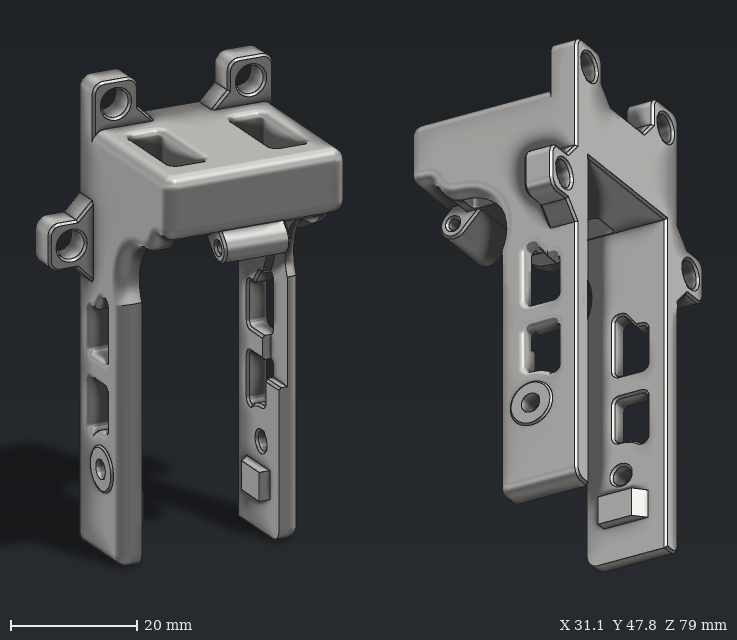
import cadquery as cq
import math

HEIGHT = 79.0
BODY_LENGTH = 30.8
BODY_WIDTH = 32.1
BODY_TOP = 71.0
LEG_LENGTH = 14.5
GAP_WIDTH = 24.3
GAP_TOP = 58.7
EDGE_ROUND = 2.0
SMALL_CHAMFER = 0.4
WINDOW_ROUND = 1.0
WINDOW_CORNER = 1.0
HALF_BODY = BODY_WIDTH / 2
HALF_GAP = GAP_WIDTH / 2

PLATE_THICKNESS = 5.1
TOTAL_WIDTH = 47.8
LUG_SIZE = 8.05
SLOPE_RUN = 2.85
EAR_HEIGHT = 52.4
LUG_HOLE = 4.7
EAR_Y = (TOTAL_WIDTH - LUG_SIZE) / 2
TOP_LUG_Y = HALF_BODY - LUG_SIZE / 2
TOP_LUG_Z = HEIGHT - LUG_SIZE / 2

BAY_RADIUS = 8.05
BAY_X = 21.7
BAY_Z = 48.2
BUMP_RADIUS = 5.0
HOLLOW_RADIUS = 2.0
BLOCK_BOTTOM = 60.3

SLOT_X_MIN = 9.1
SLOT_X_MAX = 24.65
SLOT_WIDTH = 5.85
SLOT_Y = 9.0
SLOT_ROUND = 1.2

WINDOW_X_MIN = 3.55
WINDOW_X_MAX = 9.6
UPPER_WINDOW_BOTTOM = 33.0
UPPER_WINDOW_STEP = 41.0
UPPER_WINDOW_STEP_X = 5.7
UPPER_WINDOW_TOP = 43.6
UPPER_WINDOW_PEAK_X = 7.75
LOWER_WINDOW_TOP = 29.0
LOWER_WINDOW_BOTTOM = 20.1
LOWER_WINDOW_RELIEF = 6.1

PIVOT_X = 8.3
PIVOT_Z = 15.1
PIVOT_HOLE = 3.3
RING_RADIUS = 3.9
RING_HEIGHT = 0.3

PEG_X_MIN = 3.4
PEG_X_MAX = 11.4
PEG_Z_MIN = 6.25
PEG_Z_MAX = 11.1
PEG_REACH = 1.9

RECESS_DEPTH = 1.5
RECESS_X = 8.85
RECESS_BOTTOM = 26.1
RECESS_BEND_START = 44.0
RECESS_BEND_MIDDLE = (9.8, 45.8)
RECESS_BEND_END = (10.4, 49.0)

BARREL_X = 28.6
BARREL_Z = 57.3
BARREL_RADIUS = 2.5
BARREL_WIDTH = 11.7
BARREL_HOLE = 2.0
BARREL_ARM = 4.7
ARM_ANGLE = 45.0

SELECTION_PAD = 0.1


def edges_within(low, high):
    """Selector for edges centered inside a box, padded so that flat boxes work."""
    pad = cq.Vector(SELECTION_PAD, SELECTION_PAD, SELECTION_PAD)
    return cq.selectors.BoxSelector((cq.Vector(low) - pad).toTuple(), (cq.Vector(high) + pad).toTuple())


def round_edges_near(solid, points, radius):
    """Fillet the edge closest to each point."""
    for point in points:
        solid = solid.edges(cq.selectors.NearestToPointSelector(point)).fillet(radius)
    return solid


def drill(start, direction, diameter, depth):
    """Cylindrical cutter that starts at a face and runs along a direction."""
    solid = cq.Solid.makeCylinder(diameter / 2, depth, cq.Vector(start), cq.Vector(direction))
    return cq.Workplane(solid)


def countersink(mouth, direction, diameter):
    """Conical cutter that chamfers the mouth of a hole."""
    radius = diameter / 2
    solid = cq.Solid.makeCone(
        radius + SMALL_CHAMFER, radius, SMALL_CHAMFER, cq.Vector(mouth), cq.Vector(direction)
    )
    return cq.Workplane(solid)


def chamfered_hole(start, direction, diameter, depth):
    """Cutter for a through hole with both mouths chamfered."""
    forward = cq.Vector(direction)
    end = cq.Vector(start) + forward * depth
    hole = drill(start, direction, diameter, depth)
    hole = hole.union(countersink(start, forward, diameter))
    return hole.union(countersink(end, forward * -1, diameter))


def make_plate():
    """Mounting plate: two legs, a bridge, two top lugs and two side ears."""
    ear_bottom = EAR_HEIGHT - LUG_SIZE / 2
    ear_top = EAR_HEIGHT + LUG_SIZE / 2
    ear_root = HALF_BODY + SLOPE_RUN
    ear_tip = TOTAL_WIDTH / 2
    lug_inside = HALF_BODY - LUG_SIZE
    half = [
        (HALF_GAP, GAP_TOP), (HALF_GAP, 0), (HALF_BODY, 0),
        (HALF_BODY, ear_bottom - SLOPE_RUN), (ear_root, ear_bottom), (ear_tip, ear_bottom),
        (ear_tip, ear_top), (ear_root, ear_top), (HALF_BODY, ear_top + SLOPE_RUN),
        (HALF_BODY, HEIGHT), (lug_inside, HEIGHT),
        (lug_inside, BODY_TOP + SLOPE_RUN), (lug_inside - SLOPE_RUN, BODY_TOP),
    ]
    outline = half + [(-y, z) for y, z in reversed(half)]
    plate = cq.Workplane("YZ").polyline(outline).close().extrude(PLATE_THICKNESS)
    rounded = [
        (HALF_BODY, 0), (ear_tip, ear_bottom), (ear_tip, ear_top),
        (HALF_BODY, HEIGHT), (lug_inside, HEIGHT),
    ]
    middle = PLATE_THICKNESS / 2
    corners = [(middle, side * y, z) for y, z in rounded for side in (1, -1)]
    plate = round_edges_near(plate, corners, EDGE_ROUND)
    plate = plate.faces("<X or >X").chamfer(SMALL_CHAMFER)
    return plate


def make_body():
    """Rounded block and legs behind the plate, with the gap between the legs removed."""
    bay_top = BAY_Z + BAY_RADIUS
    bay_start = BAY_Z - math.sqrt(BAY_RADIUS**2 - (BAY_X - LEG_LENGTH)**2)
    bay_middle = BAY_RADIUS * math.sqrt(0.5)
    bump_z = bay_top + BUMP_RADIUS
    hollow_z = BLOCK_BOTTOM - HOLLOW_RADIUS
    reach = BUMP_RADIUS + HOLLOW_RADIUS
    swing = math.acos((bump_z - hollow_z) / reach)
    hollow_x = BAY_X + reach * math.sin(swing)

    def on_bump(angle):
        return (BAY_X + BUMP_RADIUS * math.sin(angle), bump_z - BUMP_RADIUS * math.cos(angle))

    def on_hollow(angle):
        return (hollow_x - HOLLOW_RADIUS * math.sin(angle), hollow_z + HOLLOW_RADIUS * math.cos(angle))

    start = SMALL_CHAMFER
    body = (
        cq.Workplane("XZ")
        .moveTo(start, 0)
        .lineTo(LEG_LENGTH, 0)
        .lineTo(LEG_LENGTH, bay_start)
        .threePointArc((BAY_X - bay_middle, BAY_Z + bay_middle), (BAY_X, bay_top))
        .threePointArc(on_bump(swing / 2), on_bump(swing))
        .threePointArc(on_hollow(swing / 2), on_hollow(0))
        .lineTo(BODY_LENGTH, BLOCK_BOTTOM)
        .lineTo(BODY_LENGTH, BODY_TOP)
        .lineTo(start, BODY_TOP)
        .close()
        .extrude(HALF_BODY, both=True)
    )
    sides = body.faces("<Y or >Y").edges("not <X")
    corners = body.edges(">X and |Y")
    leg_end = body.edges(cq.selectors.NearestToPointSelector((LEG_LENGTH, 0, 0)))
    body = body.newObject(sides.vals() + corners.vals() + leg_end.vals()).fillet(EDGE_ROUND)
    gap = cq.Workplane("XY").box(2 * BODY_LENGTH, GAP_WIDTH, 2 * GAP_TOP)
    return body.cut(gap)


def cut_lug_holes(part):
    """Screw holes through the top lugs and the side ears."""
    for y, z in ((TOP_LUG_Y, TOP_LUG_Z), (EAR_Y, EAR_HEIGHT)):
        for side in (1, -1):
            part = part.cut(chamfered_hole((0, side * y, z), (1, 0, 0), LUG_HOLE, PLATE_THICKNESS))
    return part


def cut_top_slots(part):
    """Two rounded slots through the block, with a soft upper rim."""
    length = SLOT_X_MAX - SLOT_X_MIN
    middle = (SLOT_X_MIN + SLOT_X_MAX) / 2
    for side in (1, -1):
        slot = (
            cq.Workplane("XY", origin=(middle, side * SLOT_Y, GAP_TOP))
            .rect(length, SLOT_WIDTH)
            .extrude(BODY_TOP - GAP_TOP)
            .edges("|Z")
            .fillet(WINDOW_CORNER)
        )
        part = part.cut(slot)
        rim = edges_within(
            (SLOT_X_MIN, side * SLOT_Y - SLOT_WIDTH / 2, BODY_TOP),
            (SLOT_X_MAX, side * SLOT_Y + SLOT_WIDTH / 2, BODY_TOP),
        )
        part = part.edges(rim).fillet(SLOT_ROUND)
    return part


def upper_window():
    """Window whose upper front corner is stepped below the ear."""
    window = (
        cq.Workplane("XZ", origin=(0, HALF_BODY, 0))
        .moveTo(WINDOW_X_MIN, UPPER_WINDOW_BOTTOM)
        .lineTo(WINDOW_X_MAX, UPPER_WINDOW_BOTTOM)
        .lineTo(WINDOW_X_MAX, UPPER_WINDOW_TOP)
        .lineTo(UPPER_WINDOW_PEAK_X, UPPER_WINDOW_TOP)
        .lineTo(UPPER_WINDOW_STEP_X, UPPER_WINDOW_STEP)
        .lineTo(WINDOW_X_MIN, UPPER_WINDOW_STEP)
        .close()
        .extrude(BODY_WIDTH)
    )
    rounded = [
        (WINDOW_X_MIN, 0, UPPER_WINDOW_BOTTOM), (WINDOW_X_MAX, 0, UPPER_WINDOW_BOTTOM),
        (WINDOW_X_MAX, 0, UPPER_WINDOW_TOP), (WINDOW_X_MIN, 0, UPPER_WINDOW_STEP),
        (UPPER_WINDOW_PEAK_X, 0, UPPER_WINDOW_TOP),
    ]
    return round_edges_near(window, rounded, WINDOW_CORNER)


def lower_window():
    """Window whose lower edge curves around the pivot ring."""
    center = ((WINDOW_X_MIN + WINDOW_X_MAX) / 2, (LOWER_WINDOW_TOP + LOWER_WINDOW_BOTTOM) / 2)
    window = (
        cq.Workplane("XZ", origin=(0, HALF_BODY, 0))
        .center(*center)
        .rect(WINDOW_X_MAX - WINDOW_X_MIN, LOWER_WINDOW_TOP - LOWER_WINDOW_BOTTOM)
        .extrude(BODY_WIDTH)
    )
    relief = drill((PIVOT_X, -HALF_BODY, PIVOT_Z), (0, 1, 0), 2 * LOWER_WINDOW_RELIEF, BODY_WIDTH)
    relief_dx = WINDOW_X_MAX - PIVOT_X
    relief_corner = PIVOT_Z + math.sqrt(LOWER_WINDOW_RELIEF**2 - relief_dx**2)
    rounded = [
        (WINDOW_X_MIN, 0, LOWER_WINDOW_BOTTOM), (WINDOW_X_MIN, 0, LOWER_WINDOW_TOP),
        (WINDOW_X_MAX, 0, LOWER_WINDOW_TOP), (WINDOW_X_MAX, 0, relief_corner),
    ]
    return round_edges_near(window.cut(relief), rounded, WINDOW_CORNER)


def cut_windows(part):
    """Both windows through both legs: rounded outside rims, chamfered inside rims."""
    part = part.cut(upper_window()).cut(lower_window())

    def rims(y):
        return edges_within(
            (WINDOW_X_MIN, y, LOWER_WINDOW_BOTTOM),
            (WINDOW_X_MAX, y, UPPER_WINDOW_TOP),
        )

    for side in (1, -1):
        part = part.edges(rims(side * HALF_GAP)).chamfer(SMALL_CHAMFER)
    for side in (1, -1):
        part = part.edges(rims(side * HALF_BODY)).fillet(WINDOW_ROUND)
    return part


def cut_leg_recess(part):
    """Thin the inner side of the +Y leg above a chamfered ledge."""
    recess = (
        cq.Workplane("XZ", origin=(0, HALF_GAP + RECESS_DEPTH, 0))
        .moveTo(RECESS_X, RECESS_BOTTOM)
        .lineTo(RECESS_X, RECESS_BEND_START)
        .threePointArc(RECESS_BEND_MIDDLE, RECESS_BEND_END)
        .lineTo(RECESS_BEND_END[0], GAP_TOP)
        .lineTo(BODY_LENGTH, GAP_TOP)
        .lineTo(BODY_LENGTH, RECESS_BOTTOM)
        .close()
        .extrude(RECESS_DEPTH)
    )
    ledge_chamfer = (
        cq.Workplane("YZ", origin=(RECESS_X, 0, 0))
        .moveTo(HALF_GAP, RECESS_BOTTOM)
        .lineTo(HALF_GAP + SMALL_CHAMFER, RECESS_BOTTOM)
        .lineTo(HALF_GAP, RECESS_BOTTOM - SMALL_CHAMFER)
        .close()
        .extrude(LEG_LENGTH)
    )
    return part.cut(recess).cut(ledge_chamfer)


def add_pivots(part):
    """Raised tapered ring on each leg with a pivot hole chamfered on the inside."""
    for side in (1, -1):
        ring = cq.Solid.makeCone(
            RING_RADIUS, RING_RADIUS - RING_HEIGHT, RING_HEIGHT,
            cq.Vector(PIVOT_X, side * HALF_BODY, PIVOT_Z), cq.Vector(0, side, 0),
        )
        inside = (PIVOT_X, side * HALF_GAP, PIVOT_Z)
        outward = (0, side, 0)
        part = part.union(cq.Workplane(ring))
        part = part.cut(drill(inside, outward, PIVOT_HOLE, HALF_BODY))
        part = part.cut(countersink(inside, outward, PIVOT_HOLE))
    return part


def add_pegs(part):
    """Latch peg on the inner side of each leg with a 45 degree lead-in."""
    for side in (1, -1):
        root = side * HALF_GAP
        tip = side * (HALF_GAP - PEG_REACH)
        peg = (
            cq.Workplane("XY", origin=(0, 0, PEG_Z_MIN))
            .moveTo(PEG_X_MIN, root)
            .lineTo(PEG_X_MIN + PEG_REACH, tip)
            .lineTo(PEG_X_MAX, tip)
            .lineTo(PEG_X_MAX, root)
            .close()
            .extrude(PEG_Z_MAX - PEG_Z_MIN)
        )
        part = part.union(peg)
    return part


def add_hinge_barrel(part):
    """Barrel under the block, joined to it by an arm rising at 45 degrees."""
    barrel = (
        cq.Workplane("XZ")
        .moveTo(0, BARREL_RADIUS)
        .lineTo(-BARREL_ARM, BARREL_RADIUS)
        .lineTo(-BARREL_ARM, -BARREL_RADIUS)
        .lineTo(0, -BARREL_RADIUS)
        .threePointArc((BARREL_RADIUS, 0), (0, BARREL_RADIUS))
        .close()
        .extrude(BARREL_WIDTH / 2, both=True)
        .faces("<Y or >Y")
        .chamfer(SMALL_CHAMFER)
        .rotate((0, 0, 0), (0, 1, 0), ARM_ANGLE)
        .translate((BARREL_X, 0, BARREL_Z))
    )
    start = (BARREL_X, -BARREL_WIDTH / 2, BARREL_Z)
    return part.union(barrel).cut(chamfered_hole(start, (0, 1, 0), BARREL_HOLE, BARREL_WIDTH))


part = make_body().union(make_plate())
part = cut_lug_holes(part)
part = cut_top_slots(part)
part = cut_windows(part)
part = cut_leg_recess(part)
part = add_pivots(part)
part = add_pegs(part)
result = add_hinge_barrel(part)